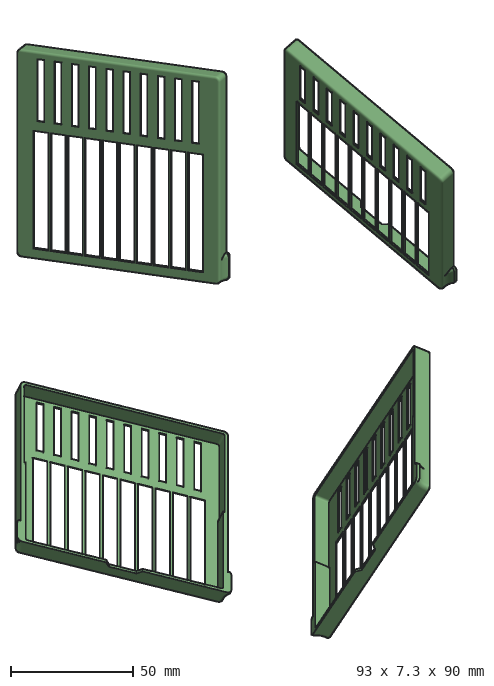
import cadquery as cq
import math

overall_width = 93.0
latch_reach = 1.5
body_width = overall_width - 2 * latch_reach
body_height = 90.0
body_depth = 7.3
corner_radius = 2.0
front_edge_radius = 1.0

plate_thickness = 0.65
rim_wall = 1.5
lower_side_wall = 2.1
lower_side_wall_top = body_height / 2
inner_corner_radius = 1.0

bay_count = 10
window_width = 75.2
window_bottom = 4.5
window_top = 55.6
bar_front_width = 0.8
bay_inset_at_back = 0.33
bay_pitch = (window_width + bar_front_width) / bay_count
bay_width = bay_pitch - bar_front_width
bay_height = window_top - window_bottom

slot_width = 3.0
slot_bottom = 60.0
slot_top = 86.9
slot_height = slot_top - slot_bottom

notch_floor_width = 11.9
notch_depth = 2.0

latch_height = 11.9
latch_length = 5.3
latch_land = 1.4
latch_top_radius = 1.6

bay_centers = [(i - (bay_count - 1) / 2) * bay_pitch for i in range(bay_count)]


def upright_block(width, bottom, top, front, back):
    """Box centred on X between the given Z and Y limits."""
    return cq.Workplane("XY").box(width, back - front, top - bottom, centered=(True, False, False)).translate(
        (0, front, bottom)
    )


def make_body():
    block = upright_block(body_width, 0, body_height, 0, body_depth)
    return block.edges("|Y").fillet(corner_radius).faces("<Y").edges().fillet(front_edge_radius)


def make_cavity():
    """Hollow open to the back, narrower in the lower half."""
    upper = upright_block(
        body_width - 2 * rim_wall,
        lower_side_wall_top,
        body_height - rim_wall,
        plate_thickness,
        body_depth,
    )
    lower = upright_block(
        body_width - 2 * lower_side_wall,
        rim_wall,
        lower_side_wall_top,
        plate_thickness,
        body_depth,
    )
    upper = upper.edges("|Y and >Z").fillet(inner_corner_radius)
    lower = lower.edges("|Y and <Z").fillet(inner_corner_radius)
    return upper.union(lower)


def make_bay(center_x):
    """Window bay tapering from the front face to the back of the plate."""
    return (
        cq.Workplane("XZ", origin=(center_x, 0, window_bottom + bay_height / 2))
        .rect(bay_width, bay_height)
        .workplane(offset=-plate_thickness)
        .rect(bay_width - 2 * bay_inset_at_back, bay_height - 2 * bay_inset_at_back)
        .loft(ruled=True)
    )


def make_slot(center_x):
    slot = upright_block(slot_width, slot_bottom, slot_top, 0, plate_thickness)
    return slot.translate((center_x, 0, 0))


def make_notch():
    half_floor = notch_floor_width / 2
    half_mouth = half_floor + notch_depth
    floor_y = body_depth - notch_depth
    return (
        cq.Workplane("XY")
        .polyline(
            [
                (-half_mouth, body_depth),
                (-half_floor, floor_y),
                (half_floor, floor_y),
                (half_mouth, body_depth),
            ]
        )
        .close()
        .extrude(rim_wall)
    )


def make_right_latch():
    """Catch that sweeps out of the side wall along a concave arc, with rounded ends."""
    wall_x = body_width / 2
    tip_x = overall_width / 2
    root_x = wall_x - lower_side_wall
    arc_start_y = body_depth - latch_length
    arc_end_y = body_depth - latch_land
    arc_run = arc_end_y - arc_start_y
    arc_radius = (arc_run**2 + latch_reach**2) / (2 * latch_reach)
    half_sweep = math.asin(arc_run / arc_radius) / 2
    arc_middle = (
        wall_x + arc_radius * (1 - math.cos(half_sweep)),
        arc_start_y + arc_radius * math.sin(half_sweep),
    )
    latch = (
        cq.Workplane("XY")
        .moveTo(root_x, arc_start_y)
        .lineTo(wall_x, arc_start_y)
        .threePointArc(arc_middle, (tip_x, arc_end_y))
        .lineTo(tip_x, body_depth)
        .lineTo(root_x, body_depth)
        .close()
        .extrude(latch_height)
    )
    land_side = cq.selectors.BoxSelector(
        (wall_x, arc_start_y, -latch_height),
        (tip_x + latch_reach, body_depth - latch_land / 4, 2 * latch_height),
    )
    latch = latch.faces(">Z").edges(land_side).fillet(latch_top_radius)
    return latch.faces("<Z").edges(land_side).fillet(corner_radius)


result = make_body().cut(make_cavity())
for bay_center in bay_centers:
    result = result.cut(make_bay(bay_center)).cut(make_slot(bay_center))
result = result.cut(make_notch())

right_latch = make_right_latch()
result = result.union(right_latch).union(right_latch.mirror("YZ"))